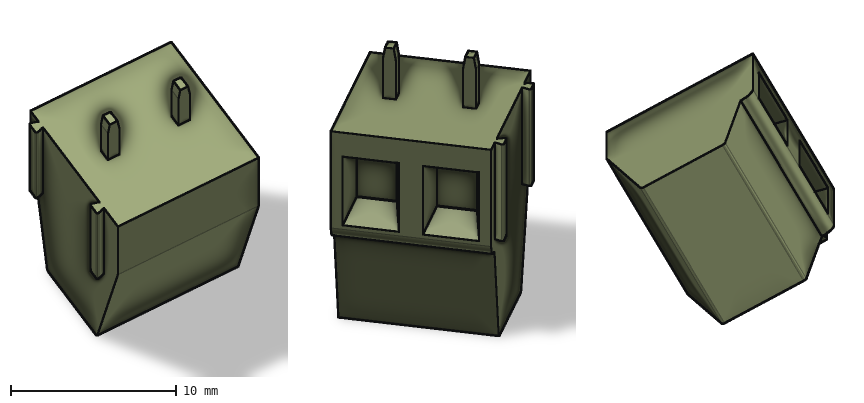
import cadquery as cq


body_length = 10.2
body_height = 14.0
pole_count = 2
body_width = 10.0
pole_pitch = body_width / pole_count
base_start = 1.96
base_end = 7.77
base_edge_radius = 0.2
rear_taper_height = 9.1
lip_height = 7.32
lip_radius = 0.85

overall_height = 17.5
pin_size = 0.8
pin_tip_width = 0.55
pin_tip_height = 0.8
pin_center_x = 5.2

funnel_mouth_width = 3.5
funnel_mouth_bottom = 7.6
funnel_mouth_top = 12.34
funnel_throat_width = 2.5
funnel_throat_bottom = 8.8
funnel_throat_top = 11.94
funnel_depth = 1.5
throat_depth = 0.1

rib_centers_x = (1.2, 8.31)
rib_neck_width = 0.52
rib_outer_width = 0.9
rib_projection = 0.58
rib_edge_radius = 0.1

pole_centers_y = [pole_pitch * (index + 0.5) for index in range(pole_count)]


def make_housing():
    """Tapered side outline extruded along the row of poles."""
    lip_bottom = lip_height - lip_radius
    profile = (
        cq.Workplane("XZ")
        .moveTo(0, body_height)
        .lineTo(0, lip_height)
        .radiusArc((lip_radius, lip_bottom), -lip_radius)
        .lineTo(base_start, 0)
        .lineTo(base_end, 0)
        .lineTo(body_length, rear_taper_height)
        .lineTo(body_length, body_height)
        .close()
    )
    housing = profile.extrude(-body_width)
    return housing.faces("<Z").edges("|Y").fillet(base_edge_radius)


def make_pin(center_y):
    """Square pin narrowing in Y towards its tip."""
    half_width = pin_size / 2
    half_tip = pin_tip_width / 2
    shoulder_height = overall_height - pin_tip_height
    return (
        cq.Workplane("YZ", origin=(pin_center_x, center_y, 0))
        .moveTo(-half_width, body_height)
        .lineTo(-half_width, shoulder_height)
        .lineTo(-half_tip, overall_height)
        .lineTo(half_tip, overall_height)
        .lineTo(half_width, shoulder_height)
        .lineTo(half_width, body_height)
        .close()
        .extrude(pin_size / 2, both=True)
    )


def make_funnel(center_y):
    """Tapered wire entry ending in a shallow straight-walled throat."""
    mouth_height = funnel_mouth_top - funnel_mouth_bottom
    mouth_center_z = (funnel_mouth_top + funnel_mouth_bottom) / 2
    throat_height = funnel_throat_top - funnel_throat_bottom
    throat_center_z = (funnel_throat_top + funnel_throat_bottom) / 2
    taper = (
        cq.Workplane("YZ", origin=(0, center_y, mouth_center_z))
        .rect(funnel_mouth_width, mouth_height)
        .workplane(offset=funnel_depth)
        .center(0, throat_center_z - mouth_center_z)
        .rect(funnel_throat_width, throat_height)
        .loft(ruled=True)
    )
    throat = (
        cq.Workplane("YZ", origin=(funnel_depth, center_y, throat_center_z))
        .rect(funnel_throat_width, throat_height)
        .extrude(throat_depth)
    )
    return taper.union(throat)


def make_rib(center_x):
    """Dovetail rib with rounded outer edges, from the lip up to the top face."""
    half_neck = rib_neck_width / 2
    half_outer = rib_outer_width / 2
    rib = (
        cq.Workplane("XY", origin=(center_x, 0, lip_height))
        .moveTo(-half_neck, 0)
        .lineTo(-half_outer, -rib_projection)
        .lineTo(half_outer, -rib_projection)
        .lineTo(half_neck, 0)
        .close()
        .extrude(body_height - lip_height)
    )
    return rib.faces("<Y").edges("|Z").fillet(rib_edge_radius)


result = make_housing()
for pole_y in pole_centers_y:
    result = result.cut(make_funnel(pole_y)).union(make_pin(pole_y))
for rib_x in rib_centers_x:
    result = result.union(make_rib(rib_x))